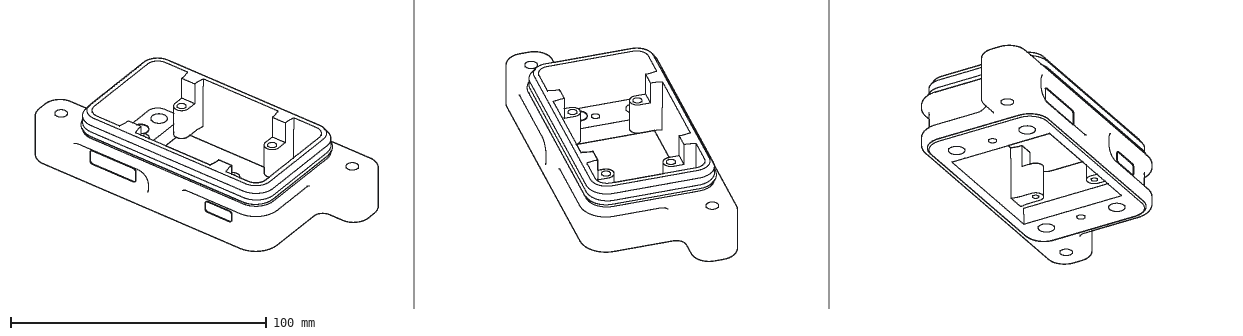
import cadquery as cq
import math

LENGTH = 132.0
WIDTH = 58.0
HEIGHT = 29.8

BASE_LENGTH = 96.1
BASE_BOTTOM = 0.8
BASE_TOP = 21.1
BASE_CORNER = 10.8
BASE_EDGE_ROUND = 1.2
EAR_WIDTH = 18.9
EAR_CORNER = 7.5
EAR_NOTCH_RADIUS = 4.0
EAR_HOLE_DIAMETER = 5.0
EAR_HOLE_X = 56.5

COLLAR_LENGTH = 90.8
COLLAR_WIDTH = 52.3
COLLAR_CORNER = 8.5
COLLAR_BEVEL_IN = 1.7
COLLAR_BEVEL_DOWN = 2.5
BEAD_LENGTH = 91.6
BEAD_WIDTH = 53.9
BEAD_CORNER = 9.0
BEAD_RADIUS = 1.2
BEAD_MIDDLE_Z = 23.1
SKIRT_LENGTH = 90.8
SKIRT_WIDTH = 53.6
SKIRT_BEVEL = 0.7

CAVITY_LENGTH = 83.4
CAVITY_WIDTH = 44.9
CAVITY_CORNER = 4.9
CAVITY_DRAFT = 0.5
FLOOR_TOP = 7.3
WINDOW_LENGTH = 56.1

POST_X = 22.0
POST_BOTTOM = 6.9
POST_FACE_Y = 17.7
POST_FLARE_Y = 19.3
POST_FLARE = 0.7
LUG_TOP = 20.3
LUG_RADIUS = 3.2
LUG_Y = 13.3
LUG_HOLE_DIAMETER = 2.5
LUG_BORE_DIAMETER = 3.5
LUG_BORE_DEPTH = 6.6

FLOOR_HOLE_DIAMETER = 6.5
FLOOR_HOLE_X = 35.0
FLOOR_HOLE_Y = 16.0
PIN_HOLE_DIAMETER = 3.3
PIN_HOLE_X = 34.5
MARK_DIAMETER = 6.5
MARK_X = 36.7
MARK_Y = 6.1
MARK_DEPTH = 0.3

POCKET_MIDDLE_Z = 11.95
POCKET_HEIGHT = 12.3
POCKET_DEPTH = 3.0
POCKET_CORNER = 5.0
POCKET_ROUND = 0.86
POCKET_DRAFT = 19.0
POCKET_OVERCUT = 0.7
FRONT_POCKET_X = (-46.1, -7.3)
WRAP_POCKET_START_X = 6.9
WRAP_POCKET_END_Y = 6.0

LABEL_DEPTH = 0.4
LABEL_CORNER = 1.2
LABELS = [(-26.7, 22.2, 6.5), (24.7, 13.0, 5.0)]

CLEAR = 13.2
SIDES = (-1, 1)


def half_turn(shape):
    return shape.rotate((0, 0, 0), (0, 0, 1), 180)


def rounded_block(length, width, corner, bottom, top):
    block = cq.Workplane("XY").workplane(offset=bottom).rect(length, width).extrude(top - bottom)
    return block.edges("|Z").fillet(corner)


def hole(diameter, x, y, bottom=0.0):
    """Round cutter reaching from its bottom to above the part."""
    return cq.Workplane("XY").workplane(offset=bottom).center(x, y).circle(diameter / 2).extrude(HEIGHT)


def base_block():
    height = BASE_TOP - BASE_BOTTOM
    half_base = BASE_LENGTH / 2
    half_length = LENGTH / 2
    half_width = WIDTH / 2
    notch_y = half_width - EAR_WIDTH
    half_outline = [
        (-half_length, -half_width),
        (half_base, -half_width),
        (half_base, notch_y),
        (half_length, notch_y),
    ]
    outline = half_outline + [(-x, -y) for x, y in half_outline]
    base = cq.Workplane("XY").workplane(offset=BASE_BOTTOM).polyline(outline).close().extrude(height)

    def upright_edges_at(x, y):
        reach = 0.1
        return cq.selectors.BoxSelector((x - reach, y - reach, 0), (x + reach, y + reach, BASE_TOP))

    corner_radii = [EAR_CORNER, BASE_CORNER, EAR_NOTCH_RADIUS, EAR_CORNER]
    for (x, y), radius in zip(outline, corner_radii * 2):
        base = base.edges("|Z").edges(upright_edges_at(x, y)).fillet(radius)
    return base.faces("<Z or >Z").edges().fillet(BASE_EDGE_ROUND)


def pocket_bar(plane, rim_face, start, end):
    """Drafted round-ended bar that cuts inward from just outside the given base side."""
    flare = POCKET_OVERCUT * math.tan(math.radians(POCKET_DRAFT))
    return (
        cq.Workplane(plane)
        .workplane(offset=rim_face + POCKET_OVERCUT)
        .center((start + end) / 2, POCKET_MIDDLE_Z)
        .sketch()
        .rect(end - start + 2 * flare, POCKET_HEIGHT + 2 * flare)
        .vertices()
        .fillet(POCKET_CORNER + flare)
        .finalize()
        .extrude(-(POCKET_DEPTH + POCKET_OVERCUT), taper=POCKET_DRAFT)
    )


def wrap_pocket():
    """Pocket running along the front, round the plain corner and along the end."""
    centre_x = BASE_LENGTH / 2 - BASE_CORNER
    centre_y = WIDTH / 2 - BASE_CORNER
    past_corner = LENGTH / 2 + CLEAR
    front = pocket_bar("XZ", WIDTH / 2, WRAP_POCKET_START_X, past_corner)
    end = pocket_bar("YZ", BASE_LENGTH / 2, -past_corner, WRAP_POCKET_END_Y)
    before_corner = cq.Workplane("XY").box(centre_x, WIDTH + CLEAR, HEIGHT, centered=(False, True, False))
    after_corner = (
        cq.Workplane("XY")
        .box(past_corner, past_corner, HEIGHT, centered=(True, False, False))
        .translate((past_corner / 2, -centre_y, 0))
    )

    draft_slope = math.tan(math.radians(POCKET_DRAFT))
    floor_radius = BASE_CORNER - POCKET_DEPTH
    outer_radius = BASE_CORNER + POCKET_OVERCUT
    floor_half = POCKET_HEIGHT / 2 - POCKET_DEPTH * draft_slope
    outer_half = POCKET_HEIGHT / 2 + POCKET_OVERCUT * draft_slope
    section = [
        (floor_radius, -floor_half),
        (outer_radius, -outer_half),
        (outer_radius, outer_half),
        (floor_radius, floor_half),
    ]
    corner = (
        cq.Workplane("XZ")
        .polyline(section)
        .close()
        .revolve(90, (0, 0), (0, 1))
        .rotate((0, 0, 0), (0, 0, 1), -90)
        .translate((centre_x, -centre_y, POCKET_MIDDLE_Z))
    )
    return front.intersect(before_corner).union(corner).union(end.intersect(after_corner))


def add_pockets(body):
    flat_pocket = pocket_bar("XZ", WIDTH / 2, *FRONT_POCKET_X)
    for cutter in (flat_pocket, wrap_pocket()):
        body = body.cut(cutter).cut(half_turn(cutter))
    rim_z = POCKET_MIDDLE_Z + POCKET_HEIGHT / 2
    floor_z = rim_z - POCKET_DEPTH * math.tan(math.radians(POCKET_DRAFT))
    for edge_z in (rim_z, floor_z):
        reach = 0.07
        top_edges = cq.selectors.BoxSelector(
            (-LENGTH, -LENGTH, edge_z - reach), (LENGTH, LENGTH, edge_z + reach)
        )
        body = body.edges(top_edges).fillet(POCKET_ROUND)
    return body


def label_recess(middle_x, length, height):
    """Shallow round-cornered recess in the front pocket floor."""
    floor_y = WIDTH / 2 - POCKET_DEPTH
    recess = (
        cq.Workplane("XZ")
        .workplane(offset=floor_y - LABEL_DEPTH)
        .center(middle_x, POCKET_MIDDLE_Z)
        .rect(length, height)
        .extrude(2 * LABEL_DEPTH)
    )
    return recess.edges("|Y").fillet(LABEL_CORNER)


def sealing_bead():
    """Round cord swept along a round-cornered rectangle."""
    loop_length = BEAD_LENGTH - 2 * BEAD_RADIUS
    loop_width = BEAD_WIDTH - 2 * BEAD_RADIUS
    loop_block = rounded_block(loop_length, loop_width, BEAD_CORNER - BEAD_RADIUS, BEAD_MIDDLE_Z, HEIGHT)
    loop = loop_block.faces("<Z").wires().val()
    start = loop.startPoint()
    section = cq.Workplane(cq.Plane(start, normal=loop.tangentAt(0))).circle(BEAD_RADIUS)
    return section.sweep(loop)


def collar():
    upper = rounded_block(COLLAR_LENGTH, COLLAR_WIDTH, COLLAR_CORNER, BASE_TOP, HEIGHT)
    upper = upper.faces(">Z").edges().chamfer(COLLAR_BEVEL_DOWN, COLLAR_BEVEL_IN)
    skirt = rounded_block(SKIRT_LENGTH, SKIRT_WIDTH, COLLAR_CORNER, 0, BASE_BOTTOM)
    skirt = skirt.faces("<Z").edges().chamfer(SKIRT_BEVEL)
    return upper.union(sealing_bead()).union(skirt)


def wall_post():
    """Post against the +Y wall with a lower round-nosed screw lug in front."""
    wall_y = CAVITY_WIDTH / 2
    foot_half_width = LUG_RADIUS + POST_FLARE
    post = (
        cq.Workplane("XY")
        .workplane(offset=POST_BOTTOM)
        .moveTo(-LUG_RADIUS, POST_FACE_Y)
        .lineTo(LUG_RADIUS, POST_FACE_Y)
        .lineTo(LUG_RADIUS, POST_FLARE_Y)
        .lineTo(foot_half_width, wall_y)
        .lineTo(-foot_half_width, wall_y)
        .lineTo(-LUG_RADIUS, POST_FLARE_Y)
        .close()
        .extrude(HEIGHT - POST_BOTTOM)
    )
    lug = (
        cq.Workplane("XY")
        .workplane(offset=POST_BOTTOM)
        .moveTo(-LUG_RADIUS, POST_FLARE_Y)
        .lineTo(-LUG_RADIUS, LUG_Y)
        .threePointArc((0, LUG_Y - LUG_RADIUS), (LUG_RADIUS, LUG_Y))
        .lineTo(LUG_RADIUS, POST_FLARE_Y)
        .close()
        .extrude(LUG_TOP - POST_BOTTOM)
    )
    through = hole(LUG_HOLE_DIAMETER, 0, LUG_Y)
    bore = hole(LUG_BORE_DIAMETER, 0, LUG_Y, LUG_TOP - LUG_BORE_DEPTH)
    return post.union(lug).cut(through).cut(bore)


def cavity():
    """Drafted opening, less the end floors and the wall posts that stay standing in it."""
    opening = (
        cq.Workplane("XY")
        .workplane(offset=HEIGHT)
        .sketch()
        .rect(CAVITY_LENGTH, CAVITY_WIDTH)
        .vertices()
        .fillet(CAVITY_CORNER)
        .finalize()
        .extrude(-HEIGHT, taper=CAVITY_DRAFT)
    )
    window = cq.Workplane("XY").rect(WINDOW_LENGTH, WIDTH).extrude(FLOOR_TOP)
    floors = cq.Workplane("XY").rect(LENGTH, WIDTH).extrude(FLOOR_TOP).cut(window)
    opening = opening.cut(floors)
    for side in SIDES:
        post = wall_post().translate((side * POST_X, 0, 0))
        opening = opening.cut(post).cut(half_turn(post))
    return opening


def add_holes(body):
    ear_y = (WIDTH - EAR_WIDTH) / 2
    for side in SIDES:
        body = body.cut(hole(EAR_HOLE_DIAMETER, side * EAR_HOLE_X, side * ear_y))
        body = body.cut(hole(PIN_HOLE_DIAMETER, side * PIN_HOLE_X, 0))
        body = body.cut(hole(MARK_DIAMETER, side * MARK_X, MARK_Y, FLOOR_TOP - MARK_DEPTH))
        for end in SIDES:
            body = body.cut(hole(FLOOR_HOLE_DIAMETER, end * FLOOR_HOLE_X, side * FLOOR_HOLE_Y))
    return body


result = add_pockets(base_block())
for label in LABELS:
    result = result.cut(label_recess(*label))
result = add_holes(result.union(collar()).cut(cavity()))